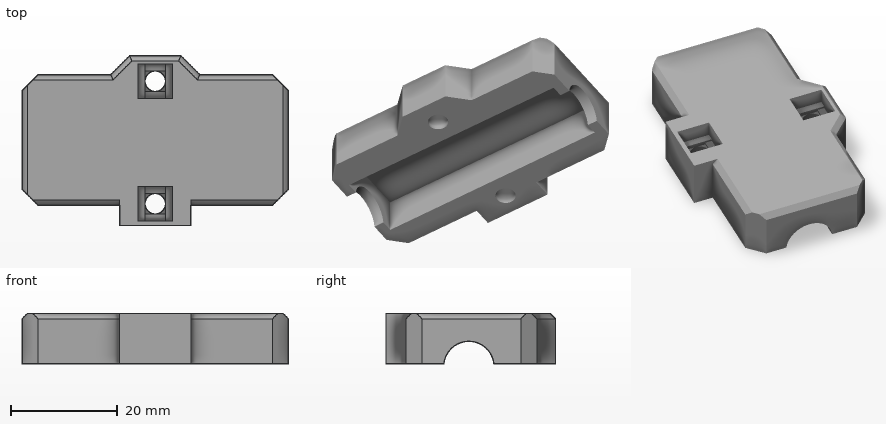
import cadquery as cq

length = 50.0
height = 9.45
front_y = -11.8
back_y = 12.75
top_bevel = 1.0
corner_cut = 3.0

front_lug_y = -15.6
front_lug_width = 13.4
back_lug_y = 16.3
back_lug_tip_width = 9.6

cable_radius = 4.7
cable_center_z = -0.5

end_wall = 2.0
roof = 2.0
chamber_width = 14.0

screw_spacing = 23.0
pocket_size = 6.5
pocket_depth = 3.1
hole_diameter = 3.8
step_depth = 0.4


def box_between(x_size, y_min, y_max, z_min, z_max):
    """Box centered on X that spans the given Y and Z ranges."""
    return (
        cq.Workplane("XY", origin=(0, (y_min + y_max) / 2, z_min))
        .rect(x_size, y_max - y_min)
        .extrude(z_max - z_min)
    )


def make_body():
    """Block with a tapered back lug, beveled around its top."""
    half_length = length / 2
    half_tip = back_lug_tip_width / 2
    half_base = half_tip + back_lug_y - back_y
    outline = [
        (-half_length, front_y),
        (half_length, front_y),
        (half_length, back_y),
        (half_base, back_y),
        (half_tip, back_lug_y),
        (-half_tip, back_lug_y),
        (-half_base, back_y),
        (-half_length, back_y),
    ]
    body = cq.Workplane("XY").polyline(outline).close().extrude(height)
    return body.faces(">Z").chamfer(top_bevel)


def cut_corners(body):
    """Cut the four upright corners at 45 degrees, after the top bevel."""
    for side in (-1, 1):
        for corner_y, inward in ((front_y, 1), (back_y, -1)):
            corner_x = side * length / 2
            wedge = (
                cq.Workplane("XY")
                .moveTo(corner_x, corner_y)
                .lineTo(corner_x - side * corner_cut, corner_y)
                .lineTo(corner_x, corner_y + inward * corner_cut)
                .close()
                .extrude(height)
            )
            body = body.cut(wedge)
    return body


def make_screw_seat(center_y):
    """Cutter for one seat: pocket, cross slot, small square, then round hole."""
    half_pocket = pocket_size / 2
    half_hole = hole_diameter / 2
    pocket_floor = height - pocket_depth
    slot_floor = pocket_floor - step_depth
    square_floor = slot_floor - step_depth
    seat = cq.Workplane("XY", origin=(0, center_y, 0)).circle(half_hole).extrude(height)
    for x_size, half_y, floor in (
        (pocket_size, half_pocket, pocket_floor),
        (hole_diameter, half_pocket, slot_floor),
        (hole_diameter, half_hole, square_floor),
    ):
        seat = seat.union(box_between(x_size, center_y - half_y, center_y + half_y, floor, height))
    return seat


front_lug = box_between(front_lug_width, front_lug_y, front_y + top_bevel, 0, height)
cable_bore = (
    cq.Workplane("YZ", origin=(-length / 2, 0, 0))
    .center(0, cable_center_z)
    .circle(cable_radius)
    .extrude(length)
)
chamber = box_between(
    length - 2 * end_wall, -chamber_width / 2, chamber_width / 2, 0, height - roof
)

result = cut_corners(make_body()).union(front_lug).cut(cable_bore).cut(chamber)
for seat_y in (-screw_spacing / 2, screw_spacing / 2):
    result = result.cut(make_screw_seat(seat_y))